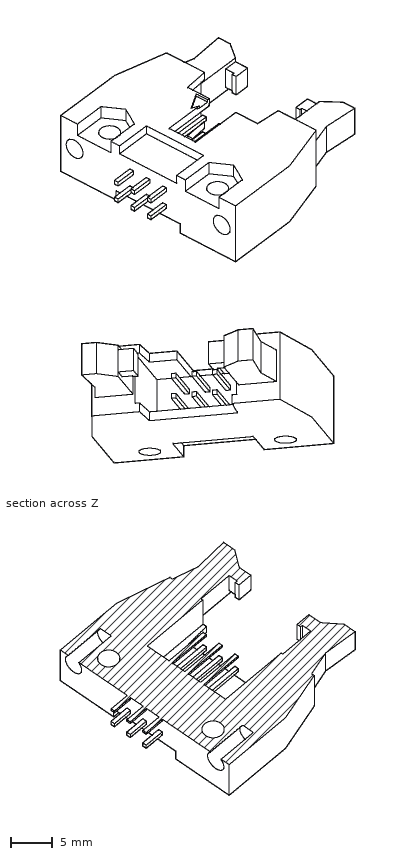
import cadquery as cq
import math


body_width = 27.2
body_height = 8.5
front_edge_y = 0
shoulder_y = 10.05
rear_y = 17.35
rear_half_width = 11.63
gap_floor_y = 13.87
gap_floor_half_width = 5.45
gap_rear_half_width = 5.73
top_z = body_height / 2

cavity_wall = 1.12
cavity_width = 12.55
cavity_floor_y = 7.48
key_slot_width = 4.13
key_slot_end_y = 6.4

pin_pitch = 2.55
pin_size = 0.57
pin_front_y = -2.86
pin_rear_y = 13.55
pin_columns = (-pin_pitch, 0, pin_pitch)
pin_rows = (-pin_pitch / 2, pin_pitch / 2)

arrow_center_x = -pin_pitch
arrow_width = 2.58
arrow_base_y = pin_rear_y
arrow_tip_y = 11.05
arrow_depth = 0.35

hole_diameter = 2.6
mount_x = 8.4
mount_y = 2.9
nut_width = 5.19
hex_half_angle = math.radians(30)
nut_pocket_depth = 1.72
side_hole_x = 11.43
side_hole_z = 0.25
side_hole_depth = 5.73

top_recess_width = 8.88
top_recess_length = 5.0
top_recess_depth = 1.2
bottom_recess_width = 9.95
bottom_recess_length = top_recess_length
bottom_recess_depth = 1.4

arm_height = 3.95
arm_inner_x = 6.53
arm_root_x = 11.23
arm_waist_x = 10.25
arm_waist_y = 20.9
arm_end_x = 10.6
arm_end_y = 25.78
arm_bevel_x = 8.77
arm_bevel_y = 24.1
hook_height = 2.8
hook_tip_x = 4.65
hook_lip_x = 5.27
hook_under_y = 22.25
hook_lip_y = 21.95


def block(width, y_start, y_end, z_bottom, z_top):
    """Box centred on X = 0 between the given Y and Z limits."""
    size = (width, y_end - y_start, z_top - z_bottom)
    return cq.Workplane("XY").box(*size, centered=(True, False, False)).translate((0, y_start, z_bottom))


def plate(points, height):
    """Closed outline in XY extruded evenly about Z = 0."""
    return cq.Workplane("XY").polyline(points).close().extrude(height / 2, both=True)


def housing():
    right_side = [
        (body_width / 2, front_edge_y),
        (body_width / 2, shoulder_y),
        (rear_half_width, rear_y),
        (gap_rear_half_width, rear_y),
        (gap_floor_half_width, gap_floor_y),
    ]
    left_side = [(-x, y) for x, y in reversed(right_side)]
    return plate(right_side + left_side, body_height)


def cavity():
    """Chamber for the mating plug, open at the rear."""
    half_height = top_z - cavity_wall
    return block(cavity_width, cavity_floor_y, rear_y, -half_height, half_height)


def key_slot():
    """Slot through the upper cavity wall, running a little past the cavity floor."""
    return block(key_slot_width, key_slot_end_y, gap_floor_y, top_z - cavity_wall, top_z)


def front_recesses():
    top = block(top_recess_width, front_edge_y, top_recess_length, top_z - top_recess_depth, top_z)
    bottom = block(
        bottom_recess_width, front_edge_y, bottom_recess_length, -top_z, bottom_recess_depth - top_z
    )
    return top.union(bottom)


def arrow_mark():
    points = [
        (arrow_center_x - arrow_width / 2, arrow_base_y),
        (arrow_center_x + arrow_width / 2, arrow_base_y),
        (arrow_center_x, arrow_tip_y),
    ]
    return cq.Workplane("XY").workplane(offset=top_z).polyline(points).close().extrude(-arrow_depth)


def mounting_cuts(side):
    """Screw hole, nut pocket open to the front, and blind front hole on one side."""
    x = side * mount_x
    half_width = nut_width / 2
    half_flat = half_width * math.tan(hex_half_angle)
    apex_reach = half_width / math.cos(hex_half_angle)
    pocket_points = [
        (x - half_width, front_edge_y),
        (x + half_width, front_edge_y),
        (x + half_width, mount_y + half_flat),
        (x, mount_y + apex_reach),
        (x - half_width, mount_y + half_flat),
    ]
    top_plane = cq.Workplane("XY").workplane(offset=top_z)
    pocket = top_plane.polyline(pocket_points).close().extrude(-nut_pocket_depth)
    screw_hole = top_plane.center(x, mount_y).circle(hole_diameter / 2).extrude(-body_height)
    front_plane = cq.Workplane("XZ").center(side * side_hole_x, side_hole_z)
    front_hole = front_plane.circle(hole_diameter / 2).extrude(-side_hole_depth)
    return pocket.union(screw_hole).union(front_hole)


def latch(side):
    """Latch arm with its inward hook, standing on the rear face of the housing."""
    arm_points = [
        (arm_inner_x, rear_y),
        (arm_root_x, rear_y),
        (arm_waist_x, arm_waist_y),
        (arm_end_x, arm_end_y),
        (arm_bevel_x, arm_end_y),
        (arm_inner_x, arm_bevel_y),
    ]
    hook_points = [
        (arm_inner_x, arm_bevel_y),
        (hook_tip_x, arm_bevel_y),
        (hook_tip_x, hook_lip_y),
        (hook_lip_x, hook_lip_y),
        (hook_lip_x, hook_under_y),
        (arm_inner_x, hook_under_y),
    ]
    arm = plate([(side * x, y) for x, y in arm_points], arm_height)
    hook = plate([(side * x, y) for x, y in hook_points], hook_height)
    return arm.union(hook)


def pin(x, z):
    """Square contact running from in front of the housing into the cavity."""
    return block(pin_size, pin_front_y, pin_rear_y, z - pin_size / 2, z + pin_size / 2).translate((x, 0, 0))


result = housing().cut(cavity()).cut(key_slot()).cut(front_recesses()).cut(arrow_mark())

for side in (-1, 1):
    result = result.cut(mounting_cuts(side)).union(latch(side))

for column_x in pin_columns:
    for row_z in pin_rows:
        result = result.union(pin(column_x, row_z))